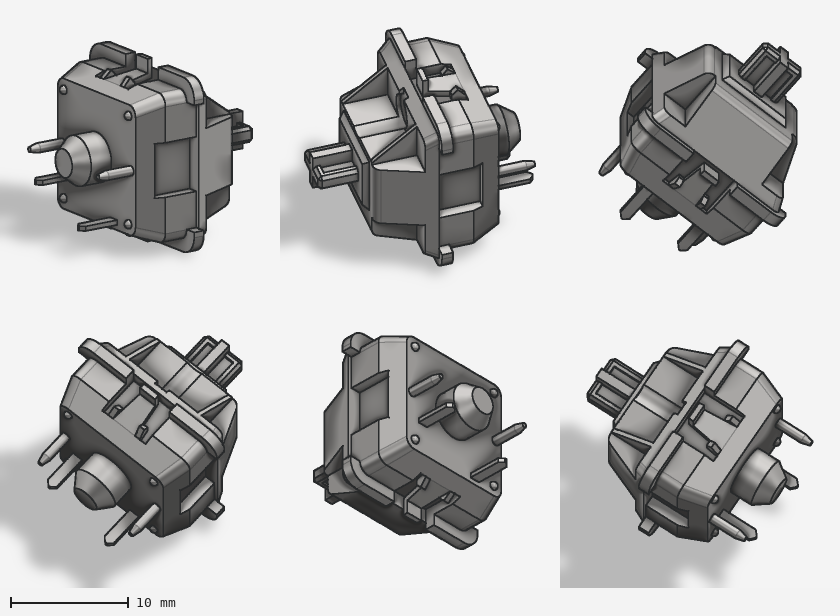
import cadquery as cq
import math


STEM_TOP = 9.15
SHOULDER_TOP = 5.64
COVER_TOP = 5.12
LEDGE = 1.1
FLANGE_BOTTOM = -1.0
DRAFT_START = -3.2
RECESS_END = -4.1
BASE_BOTTOM = -5.71
LOCATOR_END = -9.12
CONTACT_END = STEM_TOP - 18.54

BODY_WIDTH = 13.25
BODY_RADIUS = 1.0
BOTTOM_WIDTH = 11.55
BOTTOM_RADIUS = 0.9
FLANGE_WIDTH = 15.48
FLANGE_RADIUS = 1.67
RECESS_WIDTH = 4.84
RECESS_FLOOR = BODY_WIDTH / 2 - BODY_RADIUS
POST_RADIUS = 2.2
POST_TIP_RADIUS = 1.26
POST_CONE_START = -7.8
FOOT_RADIUS = 0.39
FOOT_OFFSET = 4.8

CLIP_SPAN = 16.19
TAB_TOP = -0.52
TAB_BOTTOM = -1.02
TAB_ROOT = 6.82
TONGUE_THICKNESS = 0.57
TONGUE_FREE_WIDTH = 1.6
TONGUE_ROOT_WIDTH = 2.45
TOOTH_WIDTH = 0.54
TOOTH_PEAK = 7.03
TOOTH_START = -2.87

COVER_WIDTH = 14.0
COVER_RADIUS = 0.72
SIDE_SLOPE = math.tan(math.radians(22.1))
BACK_SLOPE = math.tan(math.radians(36.7))
CROWN_RADIUS = 0.8
SIDE_BAND_HALF = 2.98
CENTER_BAND_HALF = 4.23
RIB_THICKNESS = 0.4
LAMP_RADIUS = 1.5
LAMP_CHORD = 1.63
LAMP_BOTTOM = 0.7
LAMP_SLOT_WIDTH = 1.3

SHOULDER_X = 7.03
SHOULDER_Z = 5.38
SHOULDER_INSET = 0.4
WIDE_ARM_X = 4.19
WIDE_ARM_Z = 1.4
WIDE_ARM_CHAMFER = 0.3
NARROW_ARM_X = 0.85
NARROW_ARM_Z = 3.3
ARM_POCKET_WIDTH = 2.85
ARM_POCKET_TOP = 8.53
ARM_POCKET_DEPTH = 0.28

GRID = 2.54
PIN_RADIUS = 0.43
PIN_TIP_RADIUS = 0.22
PIN_CONE_START = -8.3
CONTACT_WIDTH = 1.02
CONTACT_THICKNESS = 0.43
CONTACT_TIP_WIDTH = 0.2
CONTACT_TAPER_START = -9.0
PIN_PLACES = [(-2 * GRID, 0), (2 * GRID, 0)]
CONTACT_PLACES = [(-1.5 * GRID, -GRID), (GRID, -2 * GRID)]


def block(x_range, y_range, z_range):
    """Box between the given limits."""
    (x0, x1), (y0, y1), (z0, z1) = x_range, y_range, z_range
    return cq.Workplane("XY").box(x1 - x0, y1 - y0, z1 - z0, centered=False).translate((x0, y0, z0))


def centered_block(x_size, y_range, z_size):
    """Box that is centred on the Y axis."""
    return block((-x_size / 2, x_size / 2), y_range, (-z_size / 2, z_size / 2))


def rounded_rectangle(x_size, z_size, radius):
    return cq.Sketch().rect(x_size, z_size).vertices().fillet(radius)


def loft_down(top_sketch, bottom_sketch, top_y, height, bottom_shift=0):
    """Loft from a section at top_y to one lower by height and shifted along Z."""
    lower = bottom_sketch.moved(cq.Location(cq.Vector(0, bottom_shift, height)))
    return cq.Workplane("XZ", origin=(0, top_y, 0)).placeSketch(top_sketch, lower).loft()


def turned(points, x, z):
    """Revolve a profile of (radius, y) points about the axis along Y through x, z."""
    return cq.Workplane("XY").polyline(points).close().revolve(360, (0, 0), (0, 1)).translate((x, 0, z))


def flange():
    """Rounded square plate with a wide gap in the middle of its two X sides."""
    plate = (
        cq.Workplane("XZ")
        .placeSketch(rounded_rectangle(FLANGE_WIDTH, FLANGE_WIDTH, FLANGE_RADIUS))
        .extrude(-FLANGE_BOTTOM)
    )
    side_gap = centered_block(FLANGE_WIDTH, (FLANGE_BOTTOM, 0), 2 * RECESS_FLOOR)
    return plate.cut(side_gap)


def side_recesses():
    """Deep recess in the middle of each of the four sides."""
    reach = FLANGE_WIDTH / 2
    half = RECESS_WIDTH / 2
    recess = block((-half, half), (RECESS_END, 0), (RECESS_FLOOR, reach))
    recesses = recess
    for quarter in (1, 2, 3):
        recesses = recesses.union(recess.rotate((0, 0, 0), (0, 1, 0), 90 * quarter))
    return recesses


def tongue_plan(extra_half_width):
    """Tapered outline of the tongue in the XY plane, widened on each side, as a tall prism."""
    free = TONGUE_FREE_WIDTH / 2 + extra_half_width
    root = TONGUE_ROOT_WIDTH / 2 + extra_half_width
    points = [(-free, TAB_TOP), (free, TAB_TOP), (root, RECESS_END), (-root, RECESS_END)]
    return cq.Workplane("XY").polyline(points).close().extrude(CLIP_SPAN / 2)


def clip_slice(points):
    """Extrude a profile of (y, z) points along X over the width of the recess."""
    return cq.Workplane("YZ").polyline(points).close().extrude(RECESS_WIDTH / 2, both=True)


def plate_clip():
    """Tongue and teeth that stand free of the recess floor and are rooted in its end wall."""
    draft = (BODY_WIDTH - BOTTOM_WIDTH) / 2 / (DRAFT_START - BASE_BOTTOM)
    root_z = BODY_WIDTH / 2 - draft * (DRAFT_START - RECESS_END)
    tongue_slope = (TAB_ROOT - root_z) / (TAB_BOTTOM - RECESS_END)

    def underside(y):
        return root_z - TONGUE_THICKNESS + tongue_slope * (y - RECESS_END)

    tongue_profile = [
        (TAB_TOP, underside(TAB_TOP)),
        (TAB_TOP, CLIP_SPAN / 2),
        (TAB_BOTTOM, CLIP_SPAN / 2),
        (TAB_BOTTOM, TAB_ROOT),
        (RECESS_END, root_z),
        (RECESS_END, underside(RECESS_END)),
    ]
    peak_y = RECESS_END + TOOTH_PEAK - root_z
    tooth_profile = [
        (TOOTH_START, underside(TOOTH_START)),
        (TOOTH_START, TOOTH_PEAK - (TOOTH_START - peak_y)),
        (peak_y, TOOTH_PEAK),
        (RECESS_END, root_z),
        (RECESS_END, underside(RECESS_END)),
    ]
    tongue = clip_slice(tongue_profile).intersect(tongue_plan(0))
    teeth = clip_slice(tooth_profile).intersect(tongue_plan(TOOTH_WIDTH)).cut(tongue_plan(0))
    return tongue.union(teeth)


def center_post():
    return turned(
        [
            (0, BASE_BOTTOM),
            (POST_RADIUS, BASE_BOTTOM),
            (POST_RADIUS, POST_CONE_START),
            (POST_TIP_RADIUS, LOCATOR_END),
            (0, LOCATOR_END),
        ],
        0,
        0,
    )


def make_bottom_housing():
    straight_section = rounded_rectangle(BODY_WIDTH, BODY_WIDTH, BODY_RADIUS)
    bottom_section = rounded_rectangle(BOTTOM_WIDTH, BOTTOM_WIDTH, BOTTOM_RADIUS)
    body = cq.Workplane("XZ").placeSketch(straight_section).extrude(-DRAFT_START)
    body = body.union(loft_down(straight_section, bottom_section, DRAFT_START, DRAFT_START - BASE_BOTTOM))
    body = body.union(flange()).cut(side_recesses())
    clip = plate_clip()
    body = body.union(clip).union(clip.mirror("XY")).union(center_post())
    for x in (-FOOT_OFFSET, FOOT_OFFSET):
        for z in (-FOOT_OFFSET, FOOT_OFFSET):
            body = body.union(cq.Workplane("XY").sphere(FOOT_RADIUS).translate((x, BASE_BOTTOM, z)))
    return body


def cover_skirt():
    """Sloping skirt below the ledge; the +Z side leans in more than the other three."""
    ledge_side = COVER_WIDTH / 2 - SIDE_SLOPE * LEDGE
    ledge_back = COVER_WIDTH / 2 - BACK_SLOPE * LEDGE
    base_section = rounded_rectangle(COVER_WIDTH, COVER_WIDTH, COVER_RADIUS)
    ledge_section = rounded_rectangle(2 * ledge_side, ledge_back + ledge_side, COVER_RADIUS)
    return loft_down(base_section, ledge_section, 0, -LEDGE, (ledge_back - ledge_side) / 2)


def side_band():
    """Upper part between the two X sides, with rounded top edges."""
    low = COVER_WIDTH / 2 - SIDE_SLOPE * LEDGE
    high = COVER_WIDTH / 2 - SIDE_SLOPE * COVER_TOP
    points = [(-low, LEDGE), (low, LEDGE), (high, COVER_TOP), (-high, COVER_TOP)]
    band = cq.Workplane("XY").polyline(points).close().extrude(SIDE_BAND_HALF, both=True)
    return band.faces(">Y").edges("|Z").fillet(CROWN_RADIUS)


def center_band():
    """Upper part between the two Z sides, with a rounded top edge at -Z."""
    half = COVER_WIDTH / 2
    points = [
        (LEDGE, half - BACK_SLOPE * LEDGE),
        (COVER_TOP, half - BACK_SLOPE * COVER_TOP),
        (COVER_TOP, SIDE_SLOPE * COVER_TOP - half),
        (LEDGE, SIDE_SLOPE * LEDGE - half),
    ]
    band = cq.Workplane("YZ").polyline(points).close().extrude(CENTER_BAND_HALF, both=True)
    return band.faces(">Y").edges("<Z").fillet(CROWN_RADIUS)


def lamp_pocket():
    """Pocket between the two +Z ribs, with a round lamp seat and a slot in the ledge."""
    half = CENTER_BAND_HALF - RIB_THICKNESS
    reach = COVER_WIDTH / 2
    floor_z = reach - BACK_SLOPE * COVER_TOP
    axis_z = floor_z + math.sqrt(LAMP_RADIUS**2 - (LAMP_CHORD / 2) ** 2)
    pocket = block((-half, half), (LEDGE, COVER_TOP), (floor_z, reach))
    seat = (
        cq.Workplane("XZ", origin=(0, COVER_TOP, axis_z))
        .circle(LAMP_RADIUS)
        .extrude(COVER_TOP - LAMP_BOTTOM)
    )
    slot_half = LAMP_SLOT_WIDTH / 2
    slot = block((-slot_half, slot_half), (LAMP_BOTTOM, LEDGE), (axis_z, reach))
    return pocket.union(seat).union(slot)


def make_top_housing():
    return cover_skirt().union(side_band()).union(center_band()).cut(lamp_pocket())


def make_stem():
    """Cross-shaped stem on a shoulder that rests on the top housing."""
    shoulder = loft_down(
        cq.Sketch().rect(SHOULDER_X - 2 * SHOULDER_INSET, SHOULDER_Z - 2 * SHOULDER_INSET),
        cq.Sketch().rect(SHOULDER_X, SHOULDER_Z),
        SHOULDER_TOP,
        SHOULDER_TOP - COVER_TOP,
    )
    arm_height = (SHOULDER_TOP, STEM_TOP)
    wide_arm = centered_block(WIDE_ARM_X, arm_height, WIDE_ARM_Z)
    wide_arm = wide_arm.edges("|Y or >Y").chamfer(WIDE_ARM_CHAMFER)
    pocket_half = ARM_POCKET_WIDTH / 2
    pocket = block(
        (-pocket_half, pocket_half),
        (SHOULDER_TOP, ARM_POCKET_TOP),
        (WIDE_ARM_Z / 2 - ARM_POCKET_DEPTH, WIDE_ARM_Z / 2),
    )
    wide_arm = wide_arm.cut(pocket).cut(pocket.mirror("XY"))
    narrow_arm = centered_block(NARROW_ARM_X, arm_height, NARROW_ARM_Z)
    return shoulder.union(wide_arm).union(narrow_arm)


def make_pin(x, z):
    return turned(
        [
            (0, BASE_BOTTOM),
            (PIN_RADIUS, BASE_BOTTOM),
            (PIN_RADIUS, PIN_CONE_START),
            (PIN_TIP_RADIUS, LOCATOR_END),
            (0, LOCATOR_END),
        ],
        x,
        z,
    )


def make_contact(x, z):
    half = CONTACT_WIDTH / 2
    tip = CONTACT_TIP_WIDTH / 2
    points = [
        (-half, BASE_BOTTOM),
        (half, BASE_BOTTOM),
        (half, CONTACT_TAPER_START),
        (tip, CONTACT_END),
        (-tip, CONTACT_END),
        (-half, CONTACT_TAPER_START),
    ]
    blade = cq.Workplane("XY").polyline(points).close().extrude(CONTACT_THICKNESS / 2, both=True)
    return blade.translate((x, 0, z))


bottom_housing = make_bottom_housing()
top_housing = make_top_housing()
stem = make_stem()
pins = [make_pin(x, z) for x, z in PIN_PLACES]
contacts = [make_contact(x, z) for x, z in CONTACT_PLACES]

result = cq.Compound.makeCompound(
    [
        bottom_housing.val(),
        top_housing.val(),
        stem.val(),
        *[pin.val() for pin in pins],
        *[contact.val() for contact in contacts],
    ]
)